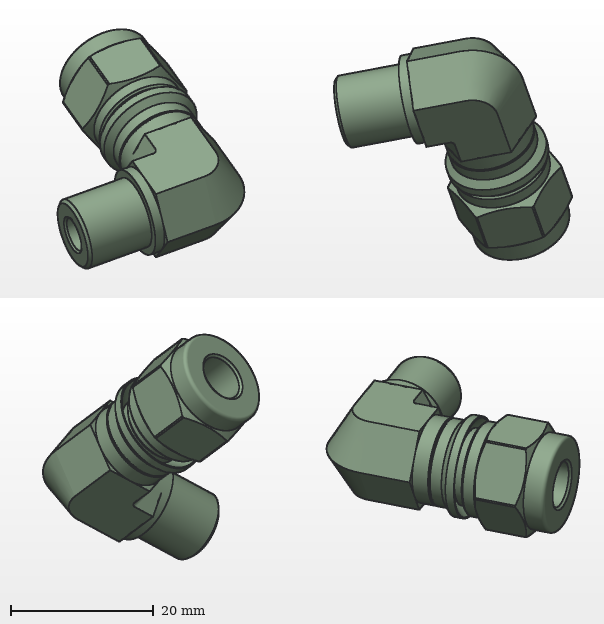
import cadquery as cq
import math


body_flats = 12.6
half_height = body_flats / 2
body_corner_radius = half_height / math.cos(math.pi / 6)
half_flat = body_corner_radius / 2
arm_length = 7.6
inner_corner_fillet = 0.8

collar_diameter = 12.6
collar_end = 9.03
stub_diameter = 10.3
stub_end = 18.81
stub_chamfer = 0.45

overall_x = 34.97
nut_face_x = body_corner_radius - overall_x
nose_diameter = 13.9
nose_round = 0.5
hex_start = 3.09
nut_flats = 14.32
nut_corner_diameter = 16.38
nut_tail_diameter = 13.6
hex_end = 10.63
hex_chamfer_slope = math.tan(math.pi / 6)
nut_end = 12.6
nut_tail_chamfer = 0.3

neck_diameter = 11.11
neck_end = 14.05
undercut_diameter = 10.1
flange_diameter = 14.6
flange_start = 13.44
flange_rim_end = 14.7
dish_diameter = 14.2
dish_depth = 2.4
shank_diameter = body_flats
shank_end = -nut_face_x - arm_length
groove_start = 17.45
groove_width = 0.28
groove_depth = 0.2

tube_bore_diameter = 6.55
tube_bore_depth = 15.3
tube_bore_chamfer = 0.35
bore_diameter = 4.83
bore_chamfer = 0.3
bore_bend_radius = 0.6


def turned_x(points):
    """Revolve an (axial, radius) outline, axial from the nut face, about the X axis."""
    outline = [(nut_face_x + axial, radius) for axial, radius in points]
    return cq.Workplane("XY").polyline(outline).close().revolve(360, (0, 0), (1, 0))


def cylinder_y(diameter, start, end):
    """Cylinder on the stub axis between two distances from the origin along -Y."""
    return cq.Workplane("XZ", origin=(0, -start, 0)).circle(diameter / 2).extrude(end - start)


def arm_profile(workplane):
    """Hexagon section whose inner corner is rounded to the inscribed circle."""
    tangent_across = half_height * math.cos(math.pi / 6)
    tangent_height = half_height * math.sin(math.pi / 6)
    return (
        workplane
        .moveTo(body_corner_radius, 0)
        .lineTo(half_flat, half_height)
        .lineTo(-half_flat, half_height)
        .lineTo(-tangent_across, tangent_height)
        .threePointArc((-half_height, 0), (-tangent_across, -tangent_height))
        .lineTo(-half_flat, -half_height)
        .lineTo(half_flat, -half_height)
        .close()
    )


def make_elbow_body():
    tube_arm = arm_profile(cq.Workplane("YZ")).extrude(-arm_length)
    stub_arm = arm_profile(cq.Workplane("XZ")).extrude(arm_length)
    outer_bend = (
        cq.Workplane("XZ")
        .polyline([
            (0, -half_height),
            (half_flat, -half_height),
            (body_corner_radius, 0),
            (half_flat, half_height),
            (0, half_height),
        ])
        .close()
        .revolve(90, (0, 0), (0, 1))
    )
    arms = tube_arm.union(stub_arm)
    edge_height = half_height - inner_corner_fillet
    inner_edges = cq.selectors.BoxSelector(
        (-half_height, -half_height, -edge_height),
        (-half_flat, -half_flat, edge_height),
    )
    arms = arms.edges(inner_edges).fillet(inner_corner_fillet)
    return arms.union(outer_bend)


def make_stub():
    collar = cylinder_y(collar_diameter, 0, collar_end)
    pipe = cylinder_y(stub_diameter, 0, stub_end).faces("<Y").chamfer(stub_chamfer)
    return collar.union(pipe)


def make_nut():
    nose = turned_x([(0, 0), (0, nose_diameter / 2), (hex_start, nose_diameter / 2), (hex_start, 0)])
    nose = nose.faces("<X").edges().fillet(nose_round)

    hexagon = (
        cq.Workplane("YZ", origin=(nut_face_x + hex_start, 0, 0))
        .polygon(6, nut_flats / math.cos(math.pi / 6))
        .extrude(hex_end - hex_start)
    )
    corner = nut_corner_diameter / 2
    front_rise = (corner - nose_diameter / 2) * hex_chamfer_slope
    back_rise = (corner - nut_tail_diameter / 2) * hex_chamfer_slope
    chamfer_envelope = turned_x([
        (hex_start, 0),
        (hex_start, nose_diameter / 2),
        (hex_start + front_rise, corner),
        (hex_end - back_rise, corner),
        (hex_end, nut_tail_diameter / 2),
        (hex_end, 0),
    ])

    tail_radius = nut_tail_diameter / 2
    tail = turned_x([(hex_start, 0), (hex_start, tail_radius), (nut_end, tail_radius), (nut_end, 0)])
    tail = tail.faces(">X").edges().chamfer(nut_tail_chamfer)
    return nose.union(hexagon.intersect(chamfer_envelope)).union(tail)


def make_tube_arm():
    neck = neck_diameter / 2
    undercut = undercut_diameter / 2
    flange = flange_diameter / 2
    shank = shank_diameter / 2
    groove_end = groove_start + groove_width
    return turned_x([
        (hex_start, 0),
        (hex_start, neck),
        (neck_end, neck),
        (neck_end + neck - undercut, undercut),
        (flange_start + dish_depth, undercut),
        (flange_start, dish_diameter / 2),
        (flange_start, flange),
        (flange_rim_end, flange),
        (flange_rim_end + flange - shank, shank),
        (groove_start, shank),
        (groove_start, shank - groove_depth),
        (groove_end, shank - groove_depth),
        (groove_end, shank),
        (shank_end, shank),
        (shank_end, 0),
    ])


def make_bores():
    tube_radius = tube_bore_diameter / 2
    bore = bore_diameter / 2
    bend_start = -nut_face_x - bore_bend_radius
    tube_bore = turned_x([
        (0, 0),
        (0, tube_radius + tube_bore_chamfer),
        (tube_bore_chamfer, tube_radius),
        (tube_bore_depth, tube_radius),
        (tube_bore_depth, bore),
        (bend_start, bore),
        (bend_start, 0),
    ])
    stub_bore = cylinder_y(bore_diameter, bore_bend_radius, stub_end)
    mouth = (
        cq.Workplane("XZ", origin=(0, -stub_end, 0))
        .circle(bore + bore_chamfer)
        .extrude(-bore_chamfer, taper=45)
    )

    pivot_height = math.sqrt(bore**2 - bore_bend_radius**2)
    bend = (
        cq.Workplane("XZ", origin=(-bore_bend_radius, -bore_bend_radius, 0))
        .moveTo(0, -pivot_height)
        .threePointArc((bore_bend_radius + bore, 0), (0, pivot_height))
        .close()
        .revolve(90, (0, 0), (0, 1))
    )
    return tube_bore.union(stub_bore).union(mouth).union(bend)


outside = make_elbow_body().union(make_stub()).union(make_tube_arm()).union(make_nut())
result = outside.cut(make_bores())